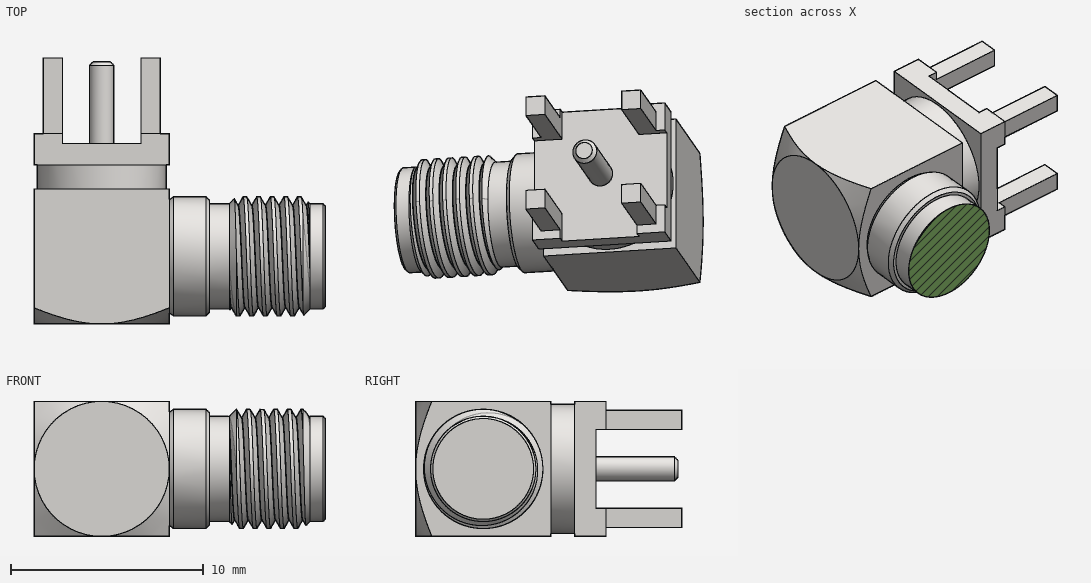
import cadquery as cq
import math


overall_length = 15.1
overall_depth = 13.8

body_side = 7.0
body_half = body_side / 2
cone_angle = math.radians(30)

neck_diameter = 6.72
neck_length = 1.24
plate_thickness = 1.63
channel_depth = 0.51
leg_spacing = 5.07
leg_width = 1.01
pin_diameter = 1.27
pin_setback = 0.2
pin_chamfer = 0.2

plate_start = body_half + neck_length
plate_end = plate_start + plate_thickness
channel_floor = plate_end - channel_depth
channel_width = leg_spacing - leg_width
leg_end = overall_depth - body_half
pin_end = leg_end - pin_setback

collar_length = 2.1
collar_radius = 3.1
collar_base_chamfer_length = 0.23
collar_base_chamfer_depth = 0.15
collar_end_chamfer = 0.2
barrel_radius = 2.73
thread_start_gap = 1.01
thread_length = 4.18
nose_chamfer = 0.12

barrel_end = overall_length - body_half
collar_end = body_half + collar_length
thread_start = collar_end + thread_start_gap
thread_end = thread_start + thread_length

thread_radius = collar_radius
thread_chamfer = thread_radius - barrel_radius
groove_depth = 0.42
groove_root_width = 0.03
groove_half_angle = math.radians(30)
groove_lead_in = 0.42
groove_travel = 4.94
groove_turns = 7
thread_pitch = groove_travel / groove_turns
cutter_clearance = 0.08


def box_along_y(width, height, y_start, y_end, centre_x=0, centre_z=0):
    """Box between two Y positions, centred on the given X and Z."""
    length = y_end - y_start
    return cq.Workplane("XY").box(width, length, height).translate(
        (centre_x, y_start + length / 2, centre_z)
    )


def cylinder_along_y(diameter, y_start, y_end):
    """Cylinder around the Y axis between two Y positions."""
    return (
        cq.Workplane("XZ", origin=(0, y_start, 0))
        .circle(diameter / 2)
        .extrude(y_start - y_end)
    )


def turned_along_x(outline):
    """Solid turned around the X axis from (x, radius) points that start and end on it."""
    return cq.Workplane("XY").polyline(outline).close().revolve(360, (0, 0, 0), (1, 0, 0))


def make_body():
    """Cube whose -Y face is a circle touching its four sides, with the corners coned back."""
    cone_length = body_side
    cone_base_radius = body_half + cone_length / math.tan(cone_angle)
    turned_blank = (
        cq.Workplane("XY")
        .polyline(
            [
                (0, -body_half),
                (body_half, -body_half),
                (cone_base_radius, -body_half + cone_length),
                (0, -body_half + cone_length),
            ]
        )
        .close()
        .revolve(360, (0, 0, 0), (0, 1, 0))
    )
    return cq.Workplane("XY").box(body_side, body_side, body_side).intersect(turned_blank)


def make_mounting_end():
    """Round neck, square plate with crossed channels, four legs and the contact pin."""
    neck = cylinder_along_y(neck_diameter, body_half, plate_start)
    plate = box_along_y(body_side, body_side, plate_start, plate_end)
    plate = plate.cut(box_along_y(channel_width, body_side, channel_floor, plate_end))
    plate = plate.cut(box_along_y(body_side, channel_width, channel_floor, plate_end))
    mounting_end = neck.union(plate)

    for x_side in (-1, 1):
        for z_side in (-1, 1):
            leg = box_along_y(
                leg_width,
                leg_width,
                channel_floor,
                leg_end,
                x_side * leg_spacing / 2,
                z_side * leg_spacing / 2,
            )
            mounting_end = mounting_end.union(leg)

    pin = cylinder_along_y(pin_diameter, channel_floor, pin_end)
    pin = pin.faces(">Y").chamfer(pin_chamfer)
    return mounting_end.union(pin)


def make_collar_and_neck():
    """Chamfered collar against the body, then the plain barrel up to the thread."""
    return turned_along_x(
        [
            (body_half, 0),
            (body_half, collar_radius - collar_base_chamfer_depth),
            (body_half + collar_base_chamfer_length, collar_radius),
            (collar_end - collar_end_chamfer, collar_radius),
            (collar_end, collar_radius - collar_end_chamfer),
            (collar_end, barrel_radius),
            (thread_start, barrel_radius),
            (thread_start, 0),
        ]
    )


def make_thread_groove():
    """Helical cutter around X that enters and leaves past both ends of the thread."""
    root_radius = thread_radius - groove_depth
    outer_radius = thread_radius + cutter_clearance
    root_half = groove_root_width / 2
    outer_half = root_half + (outer_radius - root_radius) * math.tan(groove_half_angle)
    helix = cq.Wire.makeHelix(thread_pitch, groove_travel, thread_radius)
    groove = (
        cq.Workplane("XZ")
        .polyline(
            [
                (root_radius, -root_half),
                (outer_radius, -outer_half),
                (outer_radius, outer_half),
                (root_radius, root_half),
            ]
        )
        .close()
        .sweep(cq.Workplane(helix), isFrenet=True)
    )
    groove = groove.rotate((0, 0, 0), (0, 1, 0), 90)
    return groove.translate((thread_start - groove_lead_in, 0, 0))


def make_thread():
    """Grooved cylinder trimmed to a sleeve with 45-degree ends."""
    grooved = (
        cq.Workplane("YZ", origin=(thread_start, 0, 0))
        .circle(thread_radius)
        .extrude(thread_length)
        .cut(make_thread_groove())
    )
    sleeve = turned_along_x(
        [
            (thread_start, 0),
            (thread_start, barrel_radius),
            (thread_start + thread_chamfer, thread_radius),
            (thread_end - thread_chamfer, thread_radius),
            (thread_end, barrel_radius),
            (thread_end, 0),
        ]
    )
    return grooved.intersect(sleeve)


def make_nose():
    """Plain barrel end beyond the thread, with a small chamfer."""
    return turned_along_x(
        [
            (thread_end, 0),
            (thread_end, barrel_radius),
            (barrel_end - nose_chamfer, barrel_radius),
            (barrel_end, barrel_radius - nose_chamfer),
            (barrel_end, 0),
        ]
    )


result = (
    make_body()
    .union(make_mounting_end())
    .union(make_collar_and_neck())
    .union(make_thread())
    .union(make_nose())
)